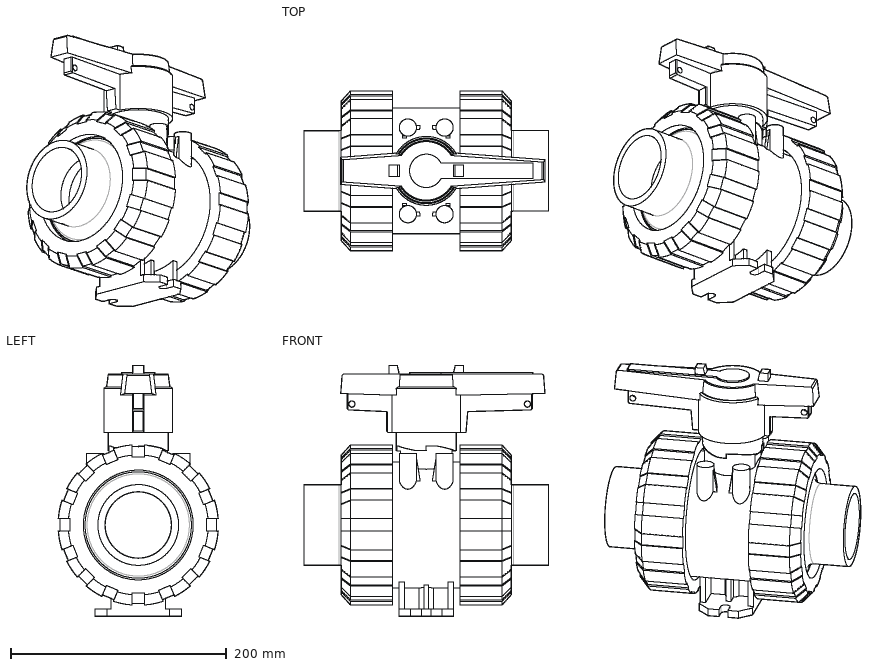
import cadquery as cq
import math


length = 227.0
pipe_d = 75.0
pipe_bore_d = 61.4
pipe_bore_depth = 40.0
port_d = 65.0

body_d = 117.0
body_half_length = 60.0

neck_d = 54.7
neck_half_width = 24.1
ledge_z = 68.6
collar_d = 56.0

cam_low_z = 69.0
cam_high_z = 73.4
cam_teeth = 4
cam_ramp_half = 12.0

post_d = 16.0
post_x = 17.05
post_y = 40.2
post_top_z = 66.5
post_root_z = 20.0
gusset_width = 3.8
gusset_top_z = 62.0
gusset_bottom_z = 41.0
gusset_reach = 11.4
gusset_offset = 3.3

foot_bottom_z = -84.75
foot_plate_height = 7.0
foot_half_x = 25.4
foot_half_y = 40.2
foot_corner = 11.0
foot_slot_width = 8.6
foot_slot_depth = 13.0
foot_root_z = -45.0
side_wall_thickness = 5.3
side_wall_half_y = 25.4
middle_wall_thickness = 5.0
center_rib_width = 4.4
center_rib_half_y = 17.9
foot_boss_d = 14.2

nut_d = 149.0
nut_inner_x = 31.3
nut_outer_x = 79.0
nut_chamfer_length = 8.6
nut_face_d = 130.0
nut_mouth_d = 102.0
nut_bore_d = 123.3
nut_lip = 9.0
groove_count = 16
groove_width = 11.6
groove_depth = 1.8

connector_ring_d = 98.8
connector_rim_d = 95.0
connector_ring_x = 71.0
connector_fillet_x = 81.0

hub_d = 64.0
hub_bottom_z = 85.8
hub_top_z = 128.1
hub_edge = 1.5
cap_bottom_d = 59.2
cap_top_d = 56.0
handle_top_z = 140.2
cap_edge = 0.8

pad_d = 31.0
pad_height = 1.4
pad_arm_width = 14.3
pad_arm_end_x = 98.9

lever_short_x = 79.6
lever_long_x = 110.4
lever_half_width = 18.5
lever_taper = 0.072
lever_bottom_z = 120.5
lever_tip_bottom_z = 122.0
lever_side_draft = 2.6
lever_end_draft = 1.5
lever_end_edge = 1.4

tab_top_z = foot_bottom_z + 232.83
tab_width = 10.6
tab_outer_x = 34.6
tab_inner_top_x = 26.8
tab_inner_bottom_x = 25.0

web_width = 10.6
web_short_x = 73.7
web_long_x = 98.6
web_bottom_z = 105.1
web_tip_bottom_z = 106.7
web_root_short_x = 37.0
web_root_long_top_x = 38.6
web_root_long_bottom_x = 37.0
web_edge = 1.5
web_side_edge = 0.9
web_hole_d = 5.5
web_hole_z = 112.2
web_hole_inset = 4.7


def vertical_cylinder(diameter, bottom_z, top_z):
    return cq.Workplane("XY").workplane(offset=bottom_z).circle(diameter / 2).extrude(top_z - bottom_z)


def revolve_about_x(profile):
    return profile.close().revolve(360, (0, 0, 0), (1, 0, 0))


def block(x_range, y_range, z_range):
    size = [high - low for low, high in (x_range, y_range, z_range)]
    corner = (x_range[0], y_range[0], z_range[0])
    return cq.Workplane("XY").box(*size, centered=False).translate(corner)


def plate_along_xz(points, width):
    """Plate of the given X-Z outline, centred on the X-Z plane."""
    return cq.Workplane("XZ").polyline(points).close().extrude(width / 2, both=True)


def make_cam_teeth(diameter):
    """Disc of saw-tooth ramps: each quadrant falls from the high to the low level."""
    pitch = 360 / cam_teeth
    reach = collar_d
    tooth_profile = [
        (-reach, ledge_z),
        (-reach, cam_high_z),
        (-cam_ramp_half, cam_high_z),
        (cam_ramp_half, cam_low_z),
        (reach, cam_low_z),
        (reach, ledge_z),
    ]
    ramp = cq.Workplane("YZ").polyline(tooth_profile).close().extrude(reach)
    sector = (
        cq.Workplane("XY")
        .workplane(offset=ledge_z)
        .lineTo(reach, -reach)
        .lineTo(reach, reach)
        .close()
        .extrude(cam_high_z - ledge_z)
    )
    disc = vertical_cylinder(diameter, ledge_z, cam_high_z)
    tooth = ramp.intersect(sector).intersect(disc)
    teeth = cq.Workplane("XY")
    for index in range(cam_teeth):
        angle = (index + 0.5) * pitch
        teeth = teeth.union(tooth.rotate((0, 0, 0), (0, 0, 1), angle))
    return teeth


def make_neck():
    neck = vertical_cylinder(neck_d, 0, ledge_z)
    flats = block(
        (-neck_half_width, neck_half_width), (-neck_d, neck_d), (0, ledge_z)
    )
    return neck.intersect(flats)


def make_post():
    """Post of the +X +Y quadrant with two gussets that widen toward the foot."""
    post = vertical_cylinder(post_d, post_root_z, post_top_z)
    gusset = plate_along_xz(
        [
            (0, gusset_top_z),
            (-post_d / 2, gusset_top_z),
            (-gusset_reach, gusset_bottom_z),
            (-gusset_reach, post_root_z),
            (0, post_root_z),
        ],
        gusset_width,
    )
    cross_gusset = gusset.rotate((0, 0, 0), (0, 0, 1), 90).translate((gusset_offset, 0, 0))
    return post.union(gusset).union(cross_gusset).translate((post_x, post_y, 0))


def make_foot():
    plate_top_z = foot_bottom_z + foot_plate_height
    wall_z = (plate_top_z, foot_root_z)
    plate = (
        block((-foot_half_x, foot_half_x), (-foot_half_y, foot_half_y), (foot_bottom_z, plate_top_z))
        .edges("|Z")
        .chamfer(foot_corner)
    )
    slots = (
        cq.Workplane("XY")
        .workplane(offset=foot_bottom_z)
        .pushPoints([(0, -foot_half_y), (0, foot_half_y)])
        .slot2D(2 * foot_slot_depth, foot_slot_width, 90)
        .extrude(foot_plate_height)
    )
    foot = plate.cut(slots)
    side_wall_inner_x = foot_half_x - side_wall_thickness
    half_rib = center_rib_width / 2
    half_wall = middle_wall_thickness / 2
    side_y = (-side_wall_half_y, side_wall_half_y)
    foot = foot.union(block((-foot_half_x, -side_wall_inner_x), side_y, wall_z))
    foot = foot.union(block((side_wall_inner_x, foot_half_x), side_y, wall_z))
    foot = foot.union(block((-foot_half_x, foot_half_x), (-half_wall, half_wall), wall_z))
    foot = foot.union(
        block((-half_rib, half_rib), (-center_rib_half_y, center_rib_half_y), wall_z)
    )
    return foot.union(vertical_cylinder(foot_boss_d, *wall_z))


def make_body():
    body = cq.Workplane("YZ").circle(body_d / 2).extrude(body_half_length, both=True)
    body = body.union(make_neck()).union(make_cam_teeth(neck_d))
    post = make_post()
    post_pair = post.union(post.mirror("YZ"))
    body = body.union(post_pair).union(post_pair.mirror("XZ"))
    body = body.union(make_foot())
    port = cq.Workplane("YZ").circle(port_d / 2).extrude(body_half_length, both=True)
    return body.cut(port)


def make_nut():
    shoulder_x = nut_outer_x - nut_chamfer_length
    lip_x = nut_outer_x - nut_lip
    nut = revolve_about_x(
        cq.Workplane("XY")
        .moveTo(nut_inner_x, nut_bore_d / 2)
        .lineTo(nut_inner_x, nut_d / 2)
        .lineTo(shoulder_x, nut_d / 2)
        .lineTo(nut_outer_x, nut_face_d / 2)
        .lineTo(nut_outer_x, nut_mouth_d / 2)
        .lineTo(lip_x, nut_mouth_d / 2)
        .lineTo(lip_x, nut_bore_d / 2)
    )
    floor_r = nut_d / 2 - groove_depth
    face_floor_r = nut_face_d / 2 - groove_depth
    groove = plate_along_xz(
        [
            (nut_inner_x, floor_r),
            (shoulder_x, floor_r),
            (nut_outer_x, face_floor_r),
            (nut_outer_x, nut_d),
            (nut_inner_x, nut_d),
        ],
        groove_width,
    )
    for index in range(groove_count):
        nut = nut.cut(groove.rotate((0, 0, 0), (1, 0, 0), index * 360 / groove_count))
    return nut


def make_connector():
    """Pipe stub that flares with a concave sweep into the flange clamped by the nut."""
    end_x = length / 2
    step_x = end_x - pipe_bore_depth
    flange_x = nut_outer_x - nut_lip
    sweep_x = connector_fillet_x - connector_ring_x
    sweep_r = (connector_rim_d - pipe_d) / 2
    bend = 1 - math.sqrt(0.5)
    return revolve_about_x(
        cq.Workplane("XY")
        .moveTo(body_half_length, port_d / 2)
        .lineTo(body_half_length, body_d / 2)
        .lineTo(flange_x, body_d / 2)
        .lineTo(flange_x, connector_ring_d / 2)
        .lineTo(connector_ring_x, connector_ring_d / 2)
        .lineTo(connector_ring_x, connector_rim_d / 2)
        .threePointArc(
            (connector_ring_x + bend * sweep_x, pipe_d / 2 + bend * sweep_r),
            (connector_fillet_x, pipe_d / 2),
        )
        .lineTo(end_x, pipe_d / 2)
        .lineTo(end_x, pipe_bore_d / 2)
        .lineTo(step_x, pipe_bore_d / 2)
        .lineTo(step_x, port_d / 2)
    )


def lever_outline(short_x, long_x, inset):
    """Plan outline of the lever, widest at the hub and tapering to both ends."""
    middle = lever_half_width - inset
    short_half = middle - lever_taper * short_x
    long_half = middle - lever_taper * long_x
    return [
        (-short_x, short_half),
        (0, middle),
        (long_x, long_half),
        (long_x, -long_half),
        (0, -middle),
        (-short_x, -short_half),
    ]


def make_lever():
    lever = (
        cq.Workplane("XY")
        .workplane(offset=lever_bottom_z)
        .polyline(lever_outline(lever_short_x, lever_long_x, 0))
        .close()
        .workplane(offset=handle_top_z - lever_bottom_z)
        .polyline(
            lever_outline(
                lever_short_x - lever_end_draft, lever_long_x - lever_end_draft, lever_side_draft
            )
        )
        .close()
        .loft(ruled=True)
    )
    lever = lever.faces(">Z").edges("|Y").chamfer(lever_end_edge)
    side_profile = plate_along_xz(
        [
            (-lever_short_x, lever_tip_bottom_z),
            (-hub_d / 2, lever_bottom_z),
            (hub_d / 2, lever_bottom_z),
            (lever_long_x, lever_tip_bottom_z),
            (lever_long_x, handle_top_z),
            (-lever_short_x, handle_top_z),
        ],
        2 * lever_half_width,
    )
    return lever.intersect(side_profile)


def make_web():
    """Thin web under the lever with one hole near each tip."""
    web_top_z = lever_tip_bottom_z + lever_end_edge
    web = plate_along_xz(
        [
            (-web_short_x, web_top_z),
            (-web_short_x, web_tip_bottom_z + web_edge),
            (-web_short_x + web_edge, web_tip_bottom_z),
            (-web_root_short_x, web_bottom_z),
            (-web_root_short_x, hub_bottom_z + web_edge),
            (-web_root_short_x + web_edge, hub_bottom_z),
            (web_root_long_bottom_x, hub_bottom_z),
            (web_root_long_top_x, web_bottom_z),
            (web_long_x - web_edge, web_tip_bottom_z),
            (web_long_x, web_tip_bottom_z + web_edge),
            (web_long_x, web_top_z),
        ],
        web_width,
    )
    holes = (
        cq.Workplane("XZ")
        .pushPoints(
            [
                (-web_short_x + web_hole_inset, web_hole_z),
                (web_long_x - web_hole_inset, web_hole_z),
            ]
        )
        .circle(web_hole_d / 2)
        .extrude(web_width, both=True)
    )
    return web.edges("|Z").chamfer(web_side_edge).cut(holes)


def make_hub():
    hub = vertical_cylinder(hub_d, hub_bottom_z, hub_top_z).faces(">Z").chamfer(hub_edge)
    cap = (
        cq.Workplane("XY")
        .workplane(offset=hub_top_z)
        .circle(cap_bottom_d / 2)
        .workplane(offset=handle_top_z - hub_top_z)
        .circle(cap_top_d / 2)
        .loft()
        .faces(">Z")
        .edges()
        .chamfer(cap_edge)
    )
    return hub.union(cap)


def make_pad():
    """Raised disc over the hub with an arm along the long side of the lever."""
    pad_top_z = handle_top_z + pad_height
    half_arm = pad_arm_width / 2
    arm = block((0, pad_arm_end_x), (-half_arm, half_arm), (handle_top_z, pad_top_z))
    return vertical_cylinder(pad_d, handle_top_z, pad_top_z).union(arm)


def make_handle():
    handle = make_hub().union(make_lever()).union(make_web())
    handle = handle.union(make_pad())
    tab = plate_along_xz(
        [
            (tab_inner_bottom_x, handle_top_z),
            (tab_inner_top_x, tab_top_z),
            (tab_outer_x, tab_top_z),
            (tab_outer_x, handle_top_z),
        ],
        tab_width,
    )
    handle = handle.union(tab).union(tab.mirror("YZ"))
    collar = vertical_cylinder(collar_d, cam_low_z, hub_bottom_z).cut(make_cam_teeth(collar_d))
    return handle.union(collar)


body = make_body()
handle = make_handle()
nut = make_nut()
connector = make_connector()

end_parts = []
for end_angle in (0, 180):
    for end_part in (nut, connector):
        turned = end_part.rotate((0, 0, 0), (0, 0, 1), end_angle)
        end_parts.append(turned.val())

result = cq.Compound.makeCompound([body.val(), handle.val(), *end_parts])